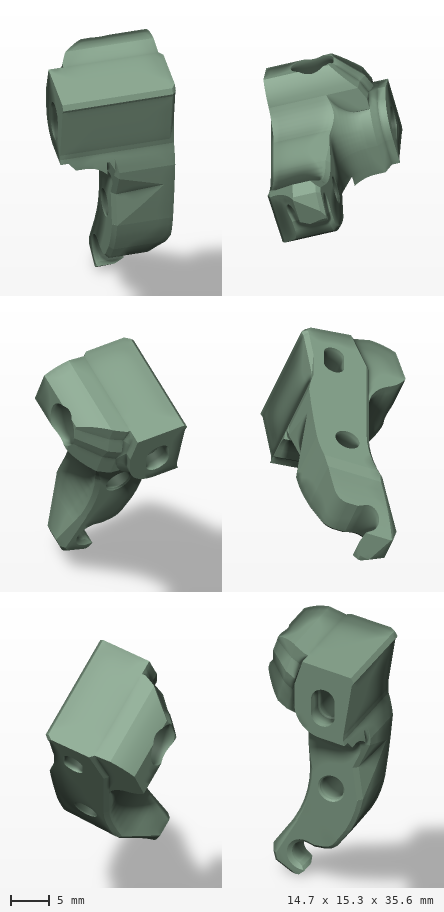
import cadquery as cq
import math

depth = 15.25
collar_start = 1.05
collar_end = 2.0
cove_start = 3.3
arm_front = 7.22
head_back = 14.7

margin = 1.78
past_right = 17.8
slab_size = 71.18

block_tilt = math.radians(9)
corner_x, corner_z = 10.6, 28.55
block_corner_radius = 4.25
collar_radius = 5.25
block_top_left = (7.47, 34.88)
block_knees = [(6.95, 33.15), (6.37, 31.43)]
collar_knees = [(6.4, 33.28), (5.35, 29.45)]

slot_x, slot_z = 10.35, 28.72
slot_width, slot_length = 3.3, 5.3
sleeve_start = 2.3
sleeve_wall = 0.25
sleeve_bevel = 0.2

head_tilt = math.radians(16.2)
head_corner = (0.25, 29.9)
head_end_length = 4.93
head_lengths = (0.0, 3.3, 5.0)
head_front_depths = (5.95, 2.78, collar_end)
ridge_height = 3.03
ridge_half_widths = (1.42, 1.9, 2.0)
ridge_rises = (0.4, 0.57, 0.55)
ridge_root = 1.05
blind_hole_diameter = 5.7
blind_hole_depth = 5.37
blind_hole_y, blind_hole_height = 8.35, 2.35

arm_left = 5.35
arm_straight_bottom, arm_straight_top = 15.73, 22.6
arm_shoulder = collar_knees[-1][1]
gusset_tip = (2.9, 27.12)
front_bevel = 0.55
back_bevel = 0.55
bevel_fade_top = 19.57
pivot_x, pivot_z = 8.5, 13.35
pivot_diameter = 3.3
pivot_bevel = 0.2

notch_x, notch_z = 12.15, 16.95
notch_bevel = 0.65
notch_upper_run = (2.85, 6.23)
notch_lower_run = (0.6, -4.55)
notch_taper = 7.12
notch_rise = 1.6

hook_x, hook_z = 4.5, 3.03
hook_radius = 3.3 / 2
hook_start_angle, hook_end_angle = math.radians(65), math.radians(247)
wide_bevel_top = 7.95

front_bevel_places = [
    (4.35, 11.07), (0.3, 2.42), (1.6, 0.68),
    (3.52, 3.45), (5.6, 4.38), (6.7, 4.25), (8.55, 4.65), (10.25, 6.45), (12.0, 9.9),
]
back_bevel_places = [
    (6.4, 32.17), (5.35, 22.55), (4.35, 11.07), (1.15, 5.12),
    (14.5, 33.45), (14.52, 32.9), (13.8, 28.9),
]


def front_plane(y):
    """Workplane facing -Y whose local axes are X and Z; a negative extrusion goes back."""
    return cq.Workplane("XZ", origin=(0, y, 0))


def half_space(first, second, third, side):
    """Large slab behind (side 1) or in front of (side -1) the plane through three points."""
    a, b, c = cq.Vector(first), cq.Vector(second), cq.Vector(third)
    normal = (b - a).cross(c - a).normalized()
    if normal.y * side < 0:
        normal = normal * -1
    plane = cq.Plane(origin=first, normal=normal.toTuple())
    return cq.Workplane(plane).rect(slab_size, slab_size).extrude(slab_size / 2)


def ruled_loft(outlines):
    wires = [outline.wires().val() for outline in outlines]
    return cq.Workplane(cq.Solid.makeLoft(wires, True))


def bevel_edges(body, y, places, size):
    """Chamfer the edges at depth y that lie nearest to the given places."""
    edges = [
        body.edges(cq.selectors.NearestToPointSelector((x, y, z))).val()
        for x, z in places
    ]
    return body.newObject(edges).chamfer(size)


def hook_point(angle):
    return (hook_x + hook_radius * math.cos(angle), hook_z + hook_radius * math.sin(angle))


def side_profile(y):
    return (
        front_plane(y)
        .moveTo(*block_top_left)
        .lineTo(14.27, 33.8)
        .lineTo(14.7, 33.15)
        .lineTo(14.38, 32.65)
        .lineTo(13.2, 25.15)
        .lineTo(13.2, 24.45)
        .threePointArc((13.63, 22.67), (13.8, 21.4))
        .threePointArc((13.35, 16.9), (12.75, 12.4))
        .threePointArc((12.05, 9.85), (10.95, 7.47))
        .lineTo(9.5, 5.4)
        .threePointArc((8.65, 4.6), (7.4, 4.25))
        .lineTo(5.98, 4.25)
        .lineTo(*hook_point(hook_start_angle))
        .threePointArc(hook_point(math.pi), hook_point(hook_end_angle))
        .lineTo(4.35, 1.15)
        .lineTo(4.7, 0.68)
        .lineTo(4.0, 0.07)
        .lineTo(2.67, 0)
        .lineTo(0.55, 1.3)
        .lineTo(0, 3.5)
        .lineTo(2.3, 6.73)
        .threePointArc((4.35, 10.32), (arm_left, arm_straight_bottom))
        .lineTo(arm_left, arm_shoulder)
        .close()
    )


def make_gusset(y):
    """Concave web that carries the underside of the head down into the arm."""
    inside = arm_left + 0.35
    return (
        front_plane(y)
        .moveTo(inside, arm_straight_top)
        .lineTo(arm_left, arm_straight_top)
        .threePointArc((4.63, 25.13), gusset_tip)
        .lineTo(inside, arm_shoulder)
        .close()
        .extrude(y - head_back)
    )


def block_outline(y, radius, knees):
    left = corner_x - radius
    half_turn = (math.pi / 2 - block_tilt) / 2
    middle = (corner_x - radius * math.cos(half_turn), corner_z - radius * math.sin(half_turn))
    end_x = corner_x - radius * math.sin(block_tilt)
    end_z = corner_z - radius * math.cos(block_tilt)
    return (
        front_plane(y)
        .polyline([block_top_left, *knees, (left, corner_z)])
        .threePointArc(middle, (end_x, end_z))
        .lineTo(past_right, end_z - (past_right - end_x) * math.tan(block_tilt))
        .lineTo(past_right, block_top_left[1])
        .close()
    )


def make_block():
    front = block_outline(0, block_corner_radius, block_knees).extrude(-collar_start)
    flare = ruled_loft([
        block_outline(collar_start, block_corner_radius, block_knees),
        block_outline(collar_end, collar_radius, collar_knees),
    ])
    collar = block_outline(collar_end, collar_radius, collar_knees).extrude(collar_end - arm_front)
    return front.union(flare).union(collar)


def make_cove():
    """Quarter-round cove that follows the rounded corner and the straight underside."""
    cove = arm_front - cove_start
    bend = cove * (1 - math.sqrt(0.5))
    down = (-math.sin(block_tilt), 0, -math.cos(block_tilt))
    along = (math.cos(block_tilt), 0, -math.sin(block_tilt))
    plane = cq.Plane((corner_x, cove_start, corner_z), down, along)

    def section():
        return (
            cq.Workplane(plane)
            .lineTo(collar_radius, 0)
            .threePointArc((collar_radius + bend, cove - bend), (collar_radius + cove, cove))
            .lineTo(0, cove)
            .close()
        )

    round_cove = section().revolve(360, (0, 0), (0, 1))
    straight_cove = section().extrude(past_right - corner_x)
    return round_cove.union(straight_cove)


def make_bevel_fill():
    """Fills the upper part of the left front bevel, so that it fades out upwards."""
    corner = (
        cq.Workplane("XY", origin=(arm_left, arm_front, arm_straight_bottom))
        .polyline([(0, 0), (front_bevel, 0), (0, front_bevel)])
        .close()
        .extrude(arm_shoulder - arm_straight_bottom)
    )
    fading_bevel = half_space(
        (arm_left + front_bevel, arm_front, arm_straight_bottom),
        (arm_left, arm_front + front_bevel, arm_straight_bottom),
        (arm_left, arm_front, bevel_fade_top),
        -1,
    )
    return corner.cut(fading_bevel)


def make_arm():
    arm = side_profile(arm_front).extrude(arm_front - depth)
    arm = bevel_edges(arm, arm_front, front_bevel_places, front_bevel)
    arm = bevel_edges(arm, depth, back_bevel_places, back_bevel)
    return arm.union(make_bevel_fill()).union(make_gusset(arm_front))


def make_notch():
    """Tapering V-notch in the right side, with a bevelled mouth on the front of the arm."""
    sections = [
        (arm_front - 2 * front_bevel, (notch_x - 3 * notch_bevel, notch_z)),
        (arm_front + front_bevel, (notch_x, notch_z)),
        (arm_front + front_bevel + notch_taper, (notch_x + notch_rise, notch_z + notch_rise)),
    ]
    outlines = []
    for y, (x, z) in sections:
        upper = (x + notch_upper_run[0], z + notch_upper_run[1])
        lower = (x + notch_lower_run[0], z + notch_lower_run[1])
        outline = front_plane(y).polyline(
            [upper, (x, z), lower, (past_right, lower[1]), (past_right, upper[1])]
        )
        outlines.append(outline.close())
    return ruled_loft(outlines)


head_along = (math.cos(head_tilt), 0, -math.sin(head_tilt))
head_up = (math.sin(head_tilt), 0, math.cos(head_tilt))
head_origin = (head_corner[0], 0, head_corner[1])
head_end_plane = cq.Plane(head_origin, (0, 1, 0), head_along)


def make_head():
    end_top = (
        head_corner[0] + head_end_length * head_up[0],
        head_corner[1] + head_end_length * head_up[2],
    )
    body = (
        front_plane(0)
        .moveTo(*head_corner)
        .lineTo(*end_top)
        .threePointArc((3.55, 35.38), (5.2, 35.6))
        .lineTo(*block_top_left)
        .lineTo(corner_x, corner_z)
        .lineTo(5.8, 26.2)
        .lineTo(*gusset_tip)
        .threePointArc((1.28, 28.35), head_corner)
        .close()
        .extrude(-head_back)
    )
    sloping_front = (
        cq.Workplane(cq.Plane(head_origin, head_along, head_up))
        .polyline([
            *zip(head_lengths, head_front_depths),
            (past_right, collar_end),
            (past_right, depth),
            (0, depth),
        ])
        .close()
        .extrude(slab_size / 2, both=True)
    )
    return body.intersect(sloping_front)


def make_ridge():
    """Pointed ridge along the front of the head that thickens the wall of the blind hole."""
    stations = zip(head_lengths, head_front_depths, ridge_half_widths, ridge_rises)
    return ruled_loft([
        cq.Workplane(head_end_plane)
        .workplane(offset=length)
        .polyline([
            (front + ridge_root, ridge_height - half_width),
            (front, ridge_height - half_width),
            (front - rise, ridge_height),
            (front, ridge_height + half_width),
            (front + ridge_root, ridge_height + half_width),
        ])
        .close()
        for length, front, half_width, rise in stations
    ])


def make_blind_hole():
    return (
        cq.Workplane(head_end_plane)
        .center(blind_hole_y, blind_hole_height)
        .circle(blind_hole_diameter / 2)
        .extrude(blind_hole_depth)
    )


def make_pivot_hole():
    hole = front_plane(0).center(pivot_x, pivot_z).circle(pivot_diameter / 2).extrude(-depth)
    mouth = (
        front_plane(arm_front)
        .center(pivot_x, pivot_z)
        .circle(pivot_diameter / 2 + pivot_bevel)
        .extrude(-2 * pivot_bevel, taper=45)
    )
    return hole.union(mouth)


def make_hook_back_cut():
    """Thins the hook from behind along a curve, and slants its left back edge."""
    behind = depth + margin
    curve = (
        cq.Workplane("YZ", origin=(-margin, 0, 0))
        .moveTo(depth, 8.9)
        .lineTo(14.75, 7.47)
        .threePointArc((12.05, 3.63), (10.93, 1.15))
        .lineTo(7.75, 0)
        .lineTo(7.75, -margin)
        .lineTo(behind, -margin)
        .lineTo(behind, 8.9)
        .close()
        .extrude(past_right)
    )
    slant = half_space((3.38, 14.55, 8.0), (0, 10.75, 3.5), (0.55, 10.82, 1.3), 1)
    return curve.union(slant)


def make_hook_front_cut():
    """Widening front bevel on the flat left side above the hook."""
    bevel = half_space((3.75, arm_front, 7.72), (0.8, arm_front, 2.55), (0, 8.35, 3.45), -1)
    below = (
        cq.Workplane("XY", origin=(0, 0, wide_bevel_top))
        .rect(slab_size, slab_size)
        .extrude(-wide_bevel_top - margin)
    )
    return bevel.intersect(below)


def slot_prism(y, inset, length, taper=0):
    """Upright slot shape, smaller all round by the inset, running back from y."""
    return (
        front_plane(y)
        .center(slot_x, slot_z)
        .slot2D(slot_length - 2 * inset, slot_width - 2 * inset, 90)
        .extrude(-length, taper=taper)
    )


def make_sleeve():
    sleeve = slot_prism(sleeve_start, 0, depth - sleeve_start)
    mouth = slot_prism(sleeve_start, sleeve_wall - sleeve_bevel, 2 * sleeve_bevel, taper=45)
    return sleeve.cut(slot_prism(0, sleeve_wall, depth)).cut(mouth)


def make_bracket():
    outline = side_profile(0).extrude(-depth).union(make_gusset(cove_start))
    block = make_block().intersect(outline)
    cove = make_cove().intersect(outline)
    bracket = block.union(cove).union(make_arm()).cut(make_notch())
    bracket = bracket.union(make_head()).union(make_ridge()).cut(make_blind_hole())
    bracket = bracket.cut(make_pivot_hole())
    bracket = bracket.cut(make_hook_back_cut()).cut(make_hook_front_cut())
    return bracket.cut(slot_prism(0, 0, depth))


bracket = make_bracket()
sleeve = make_sleeve()

result = cq.Compound.makeCompound([*bracket.solids().vals(), *sleeve.solids().vals()])